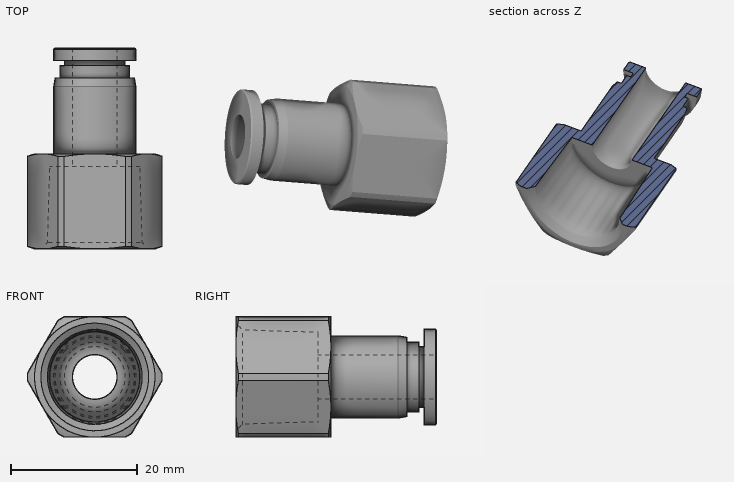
import cadquery as cq
import math


across_flats = 19.0
corner_diameter = 21.3
nut_length = 15.0
end_bevel_depth = 0.4

body_diameter = 13.0
body_end = 25.6
nose_diameter = 12.5
nose_end = 27.0
sleeve_diameter = 11.0
sleeve_end = 28.9
neck_diameter = 9.6

collar_width = 13.0
collar_height = 15.1
collar_start = 29.7
total_length = 31.7
collar_chamfer = 0.2

mouth_diameter = 17.0
thread_diameter = 14.95
mouth_depth = (mouth_diameter - thread_diameter) / 2
thread_taper = 1 / 16
thread_end = 13.0
thread_floor_diameter = thread_diameter - thread_taper * (thread_end - mouth_depth)
tube_bore_diameter = 7.0


def revolve_about_y(points):
    """Solid of revolution about Y from (radius, y) points."""
    return cq.Workplane("XY").polyline(points).close().revolve(360, (0, 0, 0), (0, 1, 0))


def plane_at(y):
    """Workplane across the axis at the given Y, with its normal along +Y."""
    return cq.Workplane(cq.Plane(origin=(0, y, 0), xDir=(1, 0, 0), normal=(0, 1, 0)))


def make_nut():
    across_corners = across_flats / math.cos(math.pi / 6)
    hexagon = plane_at(0).polygon(6, across_corners).extrude(nut_length)
    flat_radius = across_flats / 2
    corner_radius = corner_diameter / 2
    turned_envelope = revolve_about_y([
        (0, 0),
        (flat_radius, 0),
        (corner_radius, end_bevel_depth),
        (corner_radius, nut_length - end_bevel_depth),
        (flat_radius, nut_length),
        (0, nut_length),
    ])
    return hexagon.intersect(turned_envelope)


def make_body():
    return revolve_about_y([
        (0, 0),
        (body_diameter / 2, 0),
        (body_diameter / 2, body_end),
        (nose_diameter / 2, nose_end),
        (sleeve_diameter / 2, nose_end),
        (sleeve_diameter / 2, sleeve_end),
        (neck_diameter / 2, sleeve_end),
        (neck_diameter / 2, collar_start),
        (0, collar_start),
    ])


def make_collar():
    thickness = total_length - collar_start
    oval = plane_at(collar_start).ellipse(collar_width / 2, collar_height / 2).extrude(thickness)
    return oval.faces(">Y").edges().chamfer(collar_chamfer)


def make_bores():
    return revolve_about_y([
        (0, 0),
        (mouth_diameter / 2, 0),
        (thread_diameter / 2, mouth_depth),
        (thread_floor_diameter / 2, thread_end),
        (tube_bore_diameter / 2, thread_end),
        (tube_bore_diameter / 2, total_length),
        (0, total_length),
    ])


result = make_nut().union(make_body()).union(make_collar()).cut(make_bores())